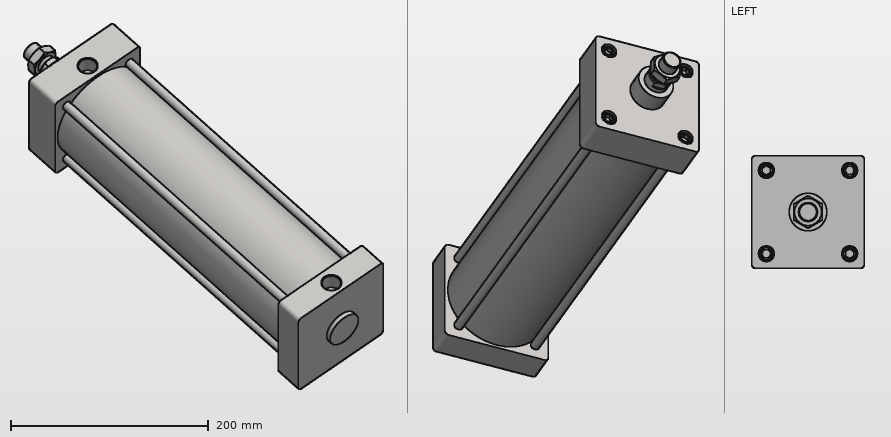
import cadquery as cq
import math


block_width = 114.0
corner_radius = 4.5
head_start = 62.5
head_length = 40.5
cap_length = 31.0
boss_dia = 38.0
front_boss_length = 21.5
rear_boss_length = 5.5
overall_length = 481.5
head_end = head_start + head_length
cap_end = overall_length - rear_boss_length
cap_start = cap_end - cap_length

port_dia = 19.0
port_chamfer = 1.0
port_depth = 19.3
head_port_x = 87.5
cap_port_x = 461.5

barrel_dia = 108.0

rod_dia = 25.5
thread_dia = 19.3
thread_chamfer_depth = 1.0
thread_chamfer_length = 0.5
shoulder_x = 28.0
shoulder_chamfer = 1.5
rod_flat_width = 22.0
rod_flat_end = 35.0

nut_start = 12.0
nut_thickness = 10.5
nut_across_flats = 28.5
nut_face_dia = 27.5
nut_chamfer_angle = 25

tie_rod_dia = 9.5
tie_rod_pitch = 84.2
tie_head_dia = 14.0
tie_head_length = 9.5
tie_head_chamfer = 1.0
tie_head_recess = 1.5
socket_corner_dia = 9.5
socket_depth = 5.0
socket_turn = -45
counterbore_dia = 16.0
tie_rod_cap_depth = cap_length / 2
tie_head_start = head_start + tie_head_recess
tie_head_end = tie_head_start + tie_head_length
tie_rod_end = cap_start + tie_rod_cap_depth
corner_angles = [45, 135, 225, 315]


def cylinder(start, end, diameter):
    """Round bar along X between two X positions."""
    return cq.Workplane("YZ", origin=(start, 0, 0)).circle(diameter / 2).extrude(end - start)


def turned(shape, angle):
    """Turn a shape about the cylinder axis, in degrees."""
    return shape.rotate((0, 0, 0), (1, 0, 0), angle)


def hexagon(start, end, corner_dia):
    """Hexagonal bar along X with two corners on its vertical centre line."""
    bar = cq.Workplane("YZ", origin=(start, 0, 0)).polygon(6, corner_dia).extrude(end - start)
    return turned(bar, 90)


def end_block(start, end):
    """Square block with rounded long edges."""
    block = cq.Workplane("YZ", origin=(start, 0, 0)).rect(block_width, block_width).extrude(end - start)
    return block.edges("|X").fillet(corner_radius)


def port(x):
    """Blind round hole cutter going down from the top of an end block."""
    top = cq.Workplane("XY", origin=(x, 0, block_width / 2))
    mouth = top.circle(port_dia / 2 + port_chamfer).extrude(-port_chamfer, taper=45)
    return top.circle(port_dia / 2).extrude(-port_depth).union(mouth)


def at_corner(shape, angle):
    """Move a shape from the cylinder axis to one tie rod position, turned with it."""
    radius = tie_rod_pitch / math.sqrt(2)
    return turned(shape.translate((0, radius, 0)), angle)


def make_tie_rod(angle):
    """Tie rod with a hexagon socket head, running from the head into a blind hole in the cap."""
    rod = cylinder(tie_head_end, tie_rod_end, tie_rod_dia)
    screw_head = cylinder(tie_head_start, tie_head_end, tie_head_dia).faces("<X").chamfer(tie_head_chamfer)
    rod = rod.union(screw_head)
    socket = hexagon(tie_head_start, tie_head_start + socket_depth, socket_corner_dia)
    return at_corner(rod.cut(turned(socket, socket_turn)), angle)


def make_head():
    """Front block with its boss, the piston rod bore, four counterbored holes and a port."""
    head = end_block(head_start, head_end)
    head = head.union(cylinder(head_start - front_boss_length, head_start, boss_dia))
    head = head.cut(cylinder(head_start - front_boss_length, head_end, rod_dia))
    for angle in corner_angles:
        head = head.cut(at_corner(cylinder(head_start, tie_head_end, counterbore_dia), angle))
        head = head.cut(at_corner(cylinder(tie_head_end, head_end, tie_rod_dia), angle))
    return head.cut(port(head_port_x))


def make_cap():
    """Rear block with its boss, four blind tie rod holes and a port."""
    cap = end_block(cap_start, cap_end)
    cap = cap.union(cylinder(cap_end, overall_length, boss_dia))
    for angle in corner_angles:
        cap = cap.cut(at_corner(cylinder(cap_start, tie_rod_end, tie_rod_dia), angle))
    return cap.cut(port(cap_port_x))


def make_barrel():
    """Round barrel clamped between the head and the cap."""
    return cylinder(head_end, cap_start, barrel_dia)


def make_piston_rod():
    """Piston rod with a reduced thread and two wrench flats behind the shoulder."""
    thread = cylinder(0, shoulder_x, thread_dia).faces("<X").edges()
    thread = thread.chamfer(thread_chamfer_length, thread_chamfer_depth)
    shank = cylinder(shoulder_x, head_end, rod_dia).faces("<X").chamfer(shoulder_chamfer)
    flat_length = rod_flat_end - shoulder_x
    cut_height = (rod_dia - rod_flat_width) / 2
    for side in (1, -1):
        cut_z = side * (rod_flat_width + cut_height) / 2
        flat = cq.Workplane("XY").box(flat_length, rod_dia, cut_height)
        shank = shank.cut(flat.translate((shoulder_x + flat_length / 2, 0, cut_z)))
    return shank.union(thread)


def make_nut():
    """Hexagonal nut with both faces chamfered at the corners."""
    corner_dia = nut_across_flats / math.cos(math.pi / 6)
    nut_end = nut_start + nut_thickness
    chamfer_depth = (corner_dia - nut_face_dia) / 2
    chamfer_length = chamfer_depth * math.tan(math.radians(nut_chamfer_angle))
    blank = cylinder(nut_start, nut_end, corner_dia).faces("<X or >X").edges()
    blank = blank.chamfer(chamfer_length, chamfer_depth)
    return hexagon(nut_start, nut_end, corner_dia).intersect(blank).cut(cylinder(nut_start, nut_end, thread_dia))


head = make_head()
cap = make_cap()
barrel = make_barrel()
piston_rod = make_piston_rod()
nut = make_nut()
tie_rods = [make_tie_rod(angle) for angle in corner_angles]

result = cq.Compound.makeCompound(
    [head.val(), cap.val(), barrel.val(), piston_rod.val(), nut.val()] + [rod.val() for rod in tie_rods]
)